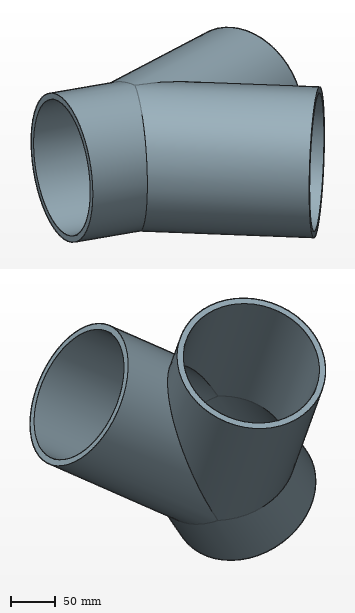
import cadquery as cq
import math

overall_width = 349.0
overall_depth = 307.0
outer_diameter = 168.2
bore_diameter = 154.0
branch_angle = 30.0

outer_radius = outer_diameter / 2
sine = math.sin(math.radians(branch_angle))
cosine = math.cos(math.radians(branch_angle))
branch_length = (overall_width / 2 - outer_radius * cosine) / sine
stem_length = overall_depth - branch_length * cosine - outer_radius * sine

stem_start = cq.Vector(0, 0, 0)
junction = cq.Vector(0, stem_length, 0)
stem_direction = cq.Vector(0, 1, 0)
branch_directions = [cq.Vector(side * sine, cosine, 0) for side in (-1, 1)]


def wye(diameter):
    """Solid Y of three equal cylinders whose axes meet at the junction."""
    radius = diameter / 2
    body = cq.Workplane(cq.Solid.makeCylinder(radius, stem_length, stem_start, stem_direction))
    for direction in branch_directions:
        branch = cq.Solid.makeCylinder(radius, branch_length, junction, direction)
        body = body.union(cq.Workplane(branch))
    return body


result = wye(outer_diameter).cut(wye(bore_diameter))